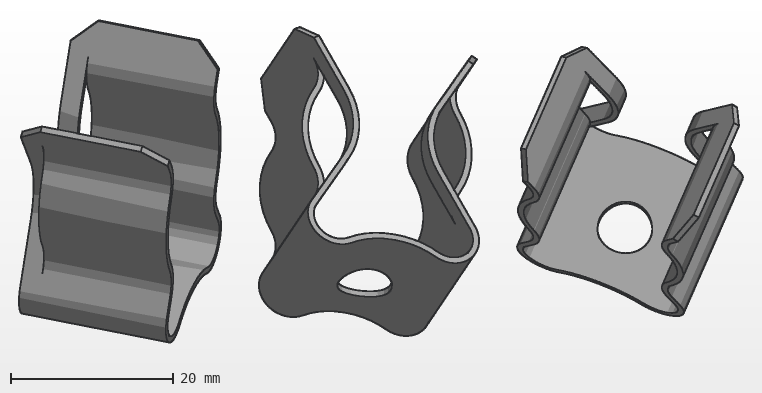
import cadquery as cq
import math

width = 19.05
tip_span = 23.75
height = 31.8

sheet = 0.8
slope = 30.0
bottom_flat_half = 0.2
arch_radius = 10.9
lobe_radius = 3.4
bulge_radius = 9.48

strip_width = 2.55
rib_blend_radius = 4.67
rib_radius = 10.8

tip_chamfer = 3.02
hole_diameter = 6.75
hole_x = 11.2

sin_slope = math.sin(math.radians(slope))
cos_slope = math.cos(math.radians(slope))


def shifted(point, angle, distance):
    """Move a (y, z) point by a distance along a direction in degrees."""
    a = math.radians(angle)
    return (point[0] + distance * math.cos(a), point[1] + distance * math.sin(a))


def strip_piece(start, heading, length, x_start, x_end):
    """Flat length of sheet; returns the solid and the end point of its middle line."""
    end = shifted(start, heading, length)
    left = heading + 90
    outline = [shifted(p, left, side * sheet / 2)
               for p, side in ((start, 1), (end, 1), (end, -1), (start, -1))]
    solid = cq.Workplane("YZ", origin=(x_start, 0, 0)).polyline(outline).close().extrude(x_end - x_start)
    return solid, end


def bend_piece(start, heading, radius, turn, x_start, x_end):
    """Bent length of sheet, positive turn to the left; returns the solid and its end point."""
    side = math.copysign(1, turn)
    centre = shifted(start, heading + 90 * side, radius)
    first = heading - 90 * side

    def at(r, fraction):
        return shifted(centre, first + fraction * turn, r)

    outer = radius + sheet / 2
    inner = radius - sheet / 2
    solid = (
        cq.Workplane("YZ", origin=(x_start, 0, 0))
        .moveTo(*at(outer, 0))
        .threePointArc(at(outer, 0.5), at(outer, 1))
        .lineTo(*at(inner, 1))
        .threePointArc(at(inner, 0.5), at(inner, 0))
        .close()
        .extrude(x_end - x_start)
    )
    return solid, at(radius, 1)


def sheet_run(start, heading, steps, x_start, x_end):
    """Chain flats (length, 0) and bends (radius, turn); returns the solids and the end point."""
    solids = []
    point = start
    for size, turn in steps:
        if turn == 0:
            solid, point = strip_piece(point, heading, size, x_start, x_end)
        else:
            solid, point = bend_piece(point, heading, size, turn, x_start, x_end)
        heading += turn
        solids.append(solid)
    return solids, point


inward = 90 + slope
outward = 90 - slope

lobe_z = lobe_radius + sheet / 2
arch_z = lobe_z + arch_radius - (arch_radius + lobe_radius) * cos_slope
base_steps = [(bottom_flat_half, 0), (arch_radius, -slope), (lobe_radius, slope + inward)]
base, leg_start = sheet_run((0, arch_z), 0, base_steps, 0, width)

tip_y = tip_span / 2 - sheet / 2 * cos_slope
tip_z = height - sheet / 2 * sin_slope
bulge_rise = 2 * bulge_radius * sin_slope
length_sum = (tip_z - leg_start[1] - bulge_rise) / cos_slope
length_difference = (tip_y - leg_start[0]) / sin_slope
lower_length = (length_sum - length_difference) / 2
upper_length = (length_sum + length_difference) / 2

rib_rise = 2 * (2 * rib_blend_radius + rib_radius) * sin_slope
shared_length = (rib_rise - bulge_rise) / 2 / cos_slope

foot, rib_start = strip_piece(leg_start, inward, lower_length - shared_length, 0, width)
strip_steps = [(shared_length, 0), (bulge_radius, -2 * slope), (shared_length, 0)]
strip, rib_end = sheet_run(rib_start, inward, strip_steps, 0, strip_width)
rib_steps = [(rib_blend_radius, -2 * slope), (rib_radius, 2 * slope), (rib_blend_radius, -2 * slope)]
rib, _ = sheet_run(rib_start, inward, rib_steps, strip_width, width)

tip, _ = strip_piece(rib_end, outward, upper_length - shared_length, 0, width)
along_tip = cq.Vector(0, sin_slope, cos_slope)
across_tip = cq.Vector(0, cos_slope, -sin_slope)
tip = (
    tip.faces(cq.selectors.DirectionMinMaxSelector(along_tip))
    .edges(cq.selectors.ParallelDirSelector(across_tip))
    .chamfer(tip_chamfer)
)

half = tip
for piece in [foot] + base + strip + rib:
    half = half.union(piece)
clip = half.union(half.mirror("XZ")).clean()

hole_tool = cq.Workplane("XY").center(hole_x, 0).circle(hole_diameter / 2).extrude(2 * lobe_z)
result = clip.cut(hole_tool)